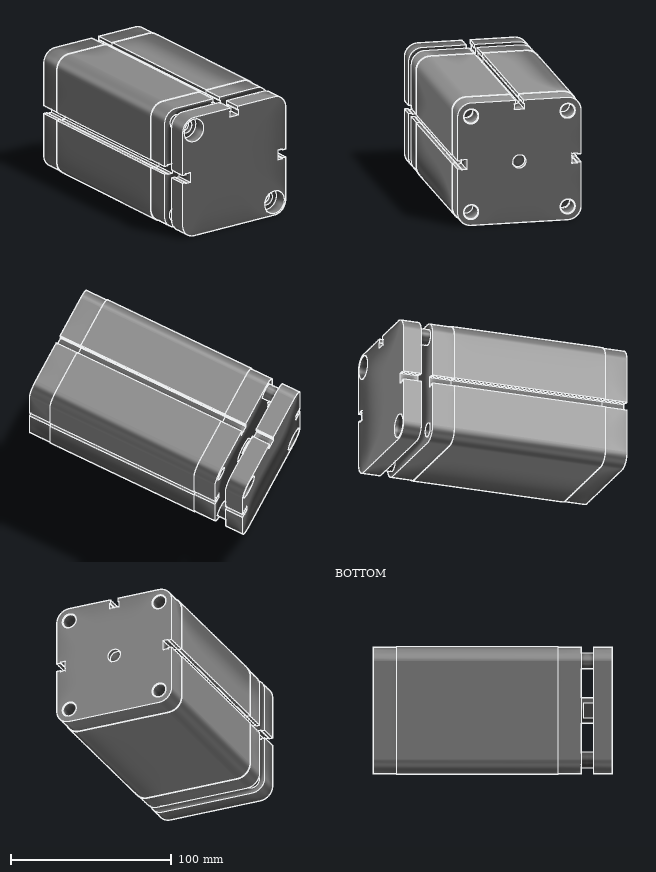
import cadquery as cq

total_length = 149.5
tube_side = 80.0
cover_inset = 0.37
corner_radius = 9.1
cap_length = 14.5
plate_thickness = 12.0
stroke_gap = 7.5

slot_neck_width = 5.2
slot_neck_depth = 2.8
slot_base_width = 6.5
slot_depth = 6.3

bore_offset = 31.0
screw_bore_diameter = 8.8
rim_diameter = 9.7
head_recess_diameter = 15.0
head_recess_depth = 8.5
guide_diameter = 10.0

rod_diameter = 16.1
flat_spacing = 13.2
flat_start = 1.27

port_diameter = 8.5
port_depth = 3.6

front_cap_end = total_length - plate_thickness - stroke_gap
tube_end = front_cap_end - cap_length
plate_start = total_length - plate_thickness

cover_side = tube_side - 2 * cover_inset
cover_radius = corner_radius - cover_inset
rim_chamfer = (rim_diameter - screw_bore_diameter) / 2

axis = [(0, 0)]
screw_corners = [(-bore_offset, bore_offset), (bore_offset, -bore_offset)]
guide_corners = [(bore_offset, bore_offset), (-bore_offset, -bore_offset)]


def section_plane(x):
    """Plane across the axis at x, with local axes along Y and Z."""
    return cq.Workplane("YZ", origin=(x, 0, 0))


def rods(x_start, x_end, diameter, places):
    """Round bars or bore cutters along X."""
    return section_plane(x_start).pushPoints(places).circle(diameter / 2).extrude(x_end - x_start)


def slot_cutter(x_start, x_end):
    """T-shaped cutter for the slot on the +Z side."""
    top = tube_side / 2
    length = x_end - x_start
    neck = (
        section_plane(x_start)
        .center(0, top - slot_depth / 2)
        .rect(slot_neck_width, slot_depth)
        .extrude(length)
    )
    base_height = slot_depth - slot_neck_depth
    base = (
        section_plane(x_start)
        .center(0, top - slot_depth + base_height / 2)
        .rect(slot_base_width, base_height)
        .extrude(length)
    )
    return neck.union(base)


def slotted_block(x_start, x_end, side, radius):
    """Rounded square block with a slot on three of its sides."""
    block = section_plane(x_start).rect(side, side).extrude(x_end - x_start).edges("|X").fillet(radius)
    for angle in (-90, 0, 90):
        block = block.cut(slot_cutter(x_start, x_end).rotate((0, 0, 0), (1, 0, 0), angle))
    return block


def make_rear_cap():
    """Cap with four chamfered corner bores and the blind port."""
    cap = slotted_block(0, cap_length, cover_side, cover_radius)
    cap = cap.cut(rods(0, cap_length, screw_bore_diameter, screw_corners + guide_corners))
    cap = cap.faces("<X").edges("%CIRCLE").edges(cq.selectors.RadiusNthSelector(0)).chamfer(rim_chamfer)
    return cap.cut(rods(0, port_depth, port_diameter, axis))


def bored_block(x_start, x_end, side, radius):
    """Slotted block with bores for the screws, the guide rods and the piston rod."""
    block = slotted_block(x_start, x_end, side, radius)
    block = block.cut(rods(x_start, x_end, screw_bore_diameter, screw_corners))
    block = block.cut(rods(x_start, x_end, guide_diameter, guide_corners))
    return block.cut(rods(x_start, x_end, rod_diameter, axis))


def make_tube():
    return bored_block(cap_length, tube_end, tube_side, corner_radius)


def make_front_cap():
    return bored_block(tube_end, front_cap_end, cover_side, cover_radius)


def make_piston_rod():
    """Rod from the rear cap to the yoke plate, with wrench flats facing +Z and -Z."""
    rod = rods(cap_length, plate_start, rod_diameter, axis)
    flats_x = front_cap_end + flat_start
    flat_depth = (rod_diameter - flat_spacing) / 2
    flat_center = (rod_diameter + flat_spacing) / 4
    flat_cutters = (
        section_plane(flats_x)
        .pushPoints([(0, flat_center), (0, -flat_center)])
        .rect(rod_diameter, flat_depth)
        .extrude(plate_start - flats_x)
    )
    return rod.cut(flat_cutters)


def make_yoke():
    """Yoke plate with two counterbored screw holes and two fixed guide rods."""
    plate = slotted_block(plate_start, total_length, cover_side, cover_radius)
    plate = plate.cut(rods(plate_start, total_length, screw_bore_diameter, screw_corners))
    head_start = total_length - head_recess_depth
    plate = plate.cut(rods(head_start, total_length, head_recess_diameter, screw_corners))
    return plate.union(rods(cap_length, plate_start, guide_diameter, guide_corners))


rear_cap = make_rear_cap()
tube = make_tube()
front_cap = make_front_cap()
piston_rod = make_piston_rod()
yoke = make_yoke()

result = cq.Compound.makeCompound(
    [rear_cap.val(), tube.val(), front_cap.val(), piston_rod.val(), yoke.val()]
)